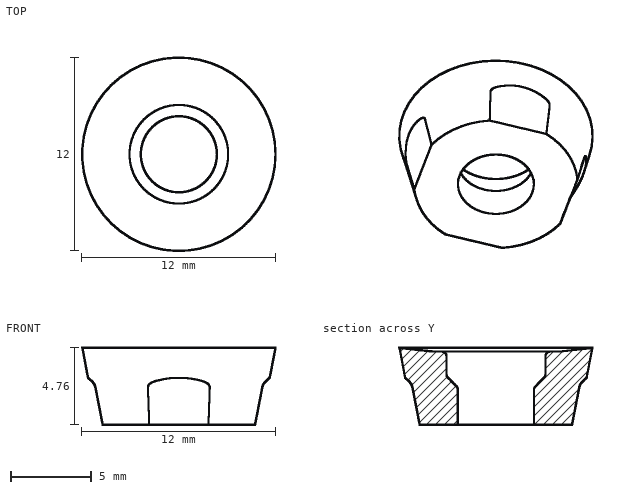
import cadquery as cq
import math

height = 4.76
top_radius = 5.98
clearance_angle = 11.0
taper = math.tan(math.radians(clearance_angle))
base_radius = top_radius - height * taper

dish_depth = 0.23
ring_radius = 3.88
ring_z = height - dish_depth

counterbore_radius = 3.05
rim_round = 0.3
seat_start_z = height - 1.61
seat_cone_top = (2.87, height - 1.92)
seat_cone_bottom = (2.43, height - 2.39)
bore_radius = 2.34
bore_top_z = height - 2.62

flat_base_distance = 4.71
flat_top_z = 2.3
flat_top_distance = flat_base_distance + flat_top_z * taper
shoulder_start = (5.4, 2.71)
shoulder_angle = 42.0
cutter_reach = 7.17
cutter_width = 7.17
flat_count = 4


def make_body():
    """Revolve the wall, dish and stepped hole about Z."""
    profile = (
        cq.Workplane("XZ")
        .moveTo(bore_radius, 0)
        .lineTo(base_radius, 0)
        .lineTo(top_radius, height)
        .lineTo(ring_radius, ring_z)
        .lineTo(counterbore_radius + rim_round, ring_z)
        .tangentArcPoint((counterbore_radius, ring_z - rim_round), relative=False)
        .lineTo(counterbore_radius, seat_start_z)
        .tangentArcPoint(seat_cone_top, relative=False)
        .lineTo(*seat_cone_bottom)
        .tangentArcPoint((bore_radius, bore_top_z), relative=False)
        .close()
    )
    return profile.revolve(360, (0, 0, 0), (0, 1, 0))


def make_flat_cutter():
    """Material removed outside one flat, on the +X side."""
    shoulder_run = cutter_reach - shoulder_start[0]
    shoulder_rise = shoulder_run * math.tan(math.radians(shoulder_angle))
    return (
        cq.Workplane("XZ")
        .moveTo(flat_base_distance, 0)
        .lineTo(flat_top_distance, flat_top_z)
        .tangentArcPoint(shoulder_start, relative=False)
        .lineTo(cutter_reach, shoulder_start[1] + shoulder_rise)
        .lineTo(cutter_reach, 0)
        .close()
        .extrude(cutter_width / 2, both=True)
    )


result = make_body()
flat_cutter = make_flat_cutter()
for index in range(flat_count):
    angle = index * 360 / flat_count
    result = result.cut(flat_cutter.rotate((0, 0, 0), (0, 0, 1), angle))